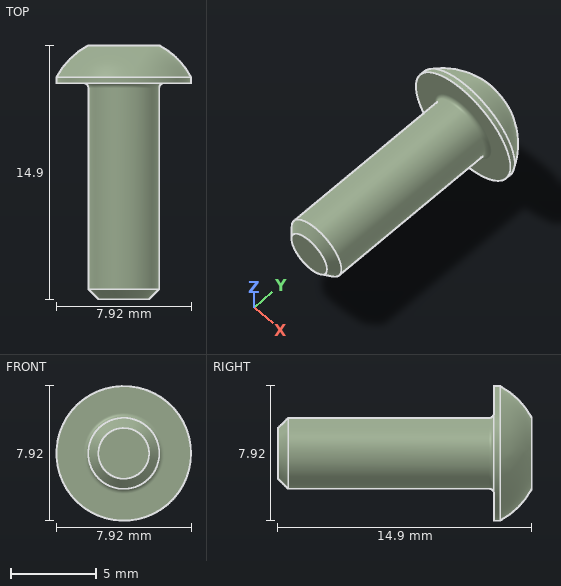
import cadquery as cq
import math

total_length = 14.91
head_diameter = 7.92
head_height = 2.22
rim_height = 0.36
crown_flat_diameter = 4.2
shank_diameter = 4.17
tip_chamfer = 0.6
neck_fillet = 0.28

head_radius = head_diameter / 2
shank_radius = shank_diameter / 2
crown_flat_radius = crown_flat_diameter / 2
bearing_y = total_length - head_height
rim_top_y = bearing_y + rim_height

crown_height = total_length - rim_top_y
sphere_drop = (head_radius**2 - crown_flat_radius**2 - crown_height**2) / (2 * crown_height)
sphere_radius = math.hypot(head_radius, sphere_drop)
sphere_center_y = rim_top_y - sphere_drop
rim_angle = math.atan2(sphere_drop, head_radius)
flat_angle = math.atan2(total_length - sphere_center_y, crown_flat_radius)
mid_angle = (rim_angle + flat_angle) / 2
crown_mid_point = (
    sphere_radius * math.cos(mid_angle),
    sphere_center_y + sphere_radius * math.sin(mid_angle),
)

fillet_center_x = shank_radius + neck_fillet
fillet_center_y = bearing_y - neck_fillet
fillet_mid_offset = neck_fillet * math.sqrt(0.5)
fillet_mid_point = (fillet_center_x - fillet_mid_offset, fillet_center_y + fillet_mid_offset)

half_outline = (
    cq.Workplane("XY")
    .moveTo(0, 0)
    .lineTo(shank_radius - tip_chamfer, 0)
    .lineTo(shank_radius, tip_chamfer)
    .lineTo(shank_radius, fillet_center_y)
    .threePointArc(fillet_mid_point, (fillet_center_x, bearing_y))
    .lineTo(head_radius, bearing_y)
    .lineTo(head_radius, rim_top_y)
    .threePointArc(crown_mid_point, (crown_flat_radius, total_length))
    .lineTo(0, total_length)
    .close()
)
result = half_outline.revolve(360, (0, 0, 0), (0, 1, 0))